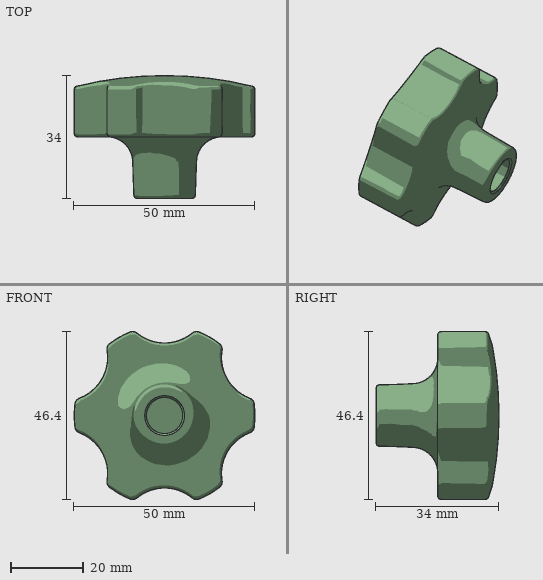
import cadquery as cq
import math

lobe_count = 6
head_radius = 25.0
dome_height = 17.0
rim_height = 13.9
scallop_depth_radius = 20.05
scallop_radius = 12.0
corner_radius = 2.0
edge_radius = 1.0

stem_length = 17.0
stem_end_radius = 8.5
stem_root_radius = 8.85
flare_radius = 15.9
flare_length = 6.8
stem_edge_radius = 1.0
head_overlap = 1.0

bore_radius = 5.0
bore_depth = 18.0
bore_chamfer = 0.5


def along_y(profile):
    """Revolve a closed (radius, Y) profile about the Y axis."""
    return profile.close().revolve(360, (0, 0, 0), (0, 1, 0))


def make_head():
    rise = dome_height - rim_height
    sphere_radius = (head_radius**2 + rise**2) / (2 * rise)
    sphere_center = dome_height - sphere_radius
    mid_radius = head_radius / 2
    mid_height = sphere_center + math.sqrt(sphere_radius**2 - mid_radius**2)
    head = along_y(
        cq.Workplane("XY")
        .lineTo(head_radius, 0)
        .lineTo(head_radius, rim_height)
        .threePointArc((mid_radius, mid_height), (0, dome_height))
    )

    pitch = 360 / lobe_count
    scallops = (
        cq.Workplane("XZ")
        .polarArray(scallop_depth_radius + scallop_radius, pitch / 2, 360, lobe_count)
        .circle(scallop_radius)
        .extrude(-dome_height)
    )
    head = head.rotate((0, 0, 0), (0, 1, 0), pitch / 2).cut(scallops)

    head = head.edges("|Y").fillet(corner_radius)
    return head.edges("not |Y").fillet(edge_radius)


def make_stem():
    flare_rise = flare_radius - stem_root_radius
    diagonal = 1 - math.sqrt(0.5)
    flare_mid = (stem_root_radius + flare_rise * diagonal, -flare_length * diagonal)
    stem = along_y(
        cq.Workplane("XY")
        .moveTo(0, head_overlap)
        .lineTo(flare_radius, head_overlap)
        .lineTo(flare_radius, 0)
        .threePointArc(flare_mid, (stem_root_radius, -flare_length))
        .lineTo(stem_end_radius, -stem_length)
        .lineTo(0, -stem_length)
    )
    return stem.faces("<Y").edges().fillet(stem_edge_radius)


def make_bore():
    bore_bottom = bore_depth - stem_length
    return along_y(
        cq.Workplane("XY")
        .moveTo(0, -stem_length)
        .lineTo(bore_radius + bore_chamfer, -stem_length)
        .lineTo(bore_radius, -stem_length + bore_chamfer)
        .lineTo(bore_radius, bore_bottom)
        .lineTo(0, bore_bottom)
    )


result = make_head().union(make_stem()).cut(make_bore())